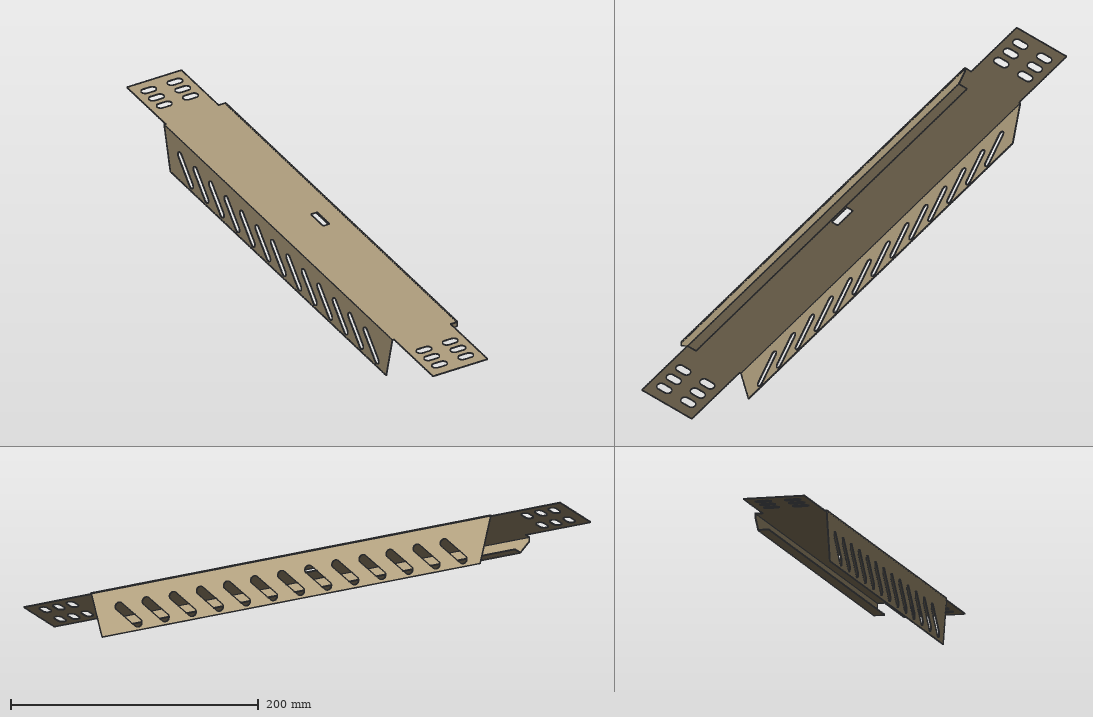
import cadquery as cq

sheet = 0.75
length = 495.0
depth = 59.4
height = 40.0

tab_width = 51.0
tab_front_setback = 1.8
body_length = 369.0
rear_length = 375.0
rear_strip_depth = depth - tab_front_setback - tab_width

front_bottom_length = 349.0

rear_height = 12.5
rear_straight = 4.0
rear_bottom_length = rear_length - 2 * (rear_height - rear_straight)
lip_depth = 9.0

tab_slot_width = 7.0
tab_slot_length = 13.5
tab_slot_end_distance = 12.5
tab_slot_pitch_x = 12.5
tab_slot_pitch_y = 24.5
tab_slot_columns = 3

diagonal_slot_count = 13
diagonal_slot_pitch = 25.0
diagonal_slot_width = 7.0
diagonal_slot_length = 32.0
diagonal_slot_angle = -45.0
diagonal_slot_drop = 25.0

window_length = 20.0
window_width = 6.0
window_rear_distance = 20.0

front_y = -depth / 2
rear_y = depth / 2
tab_front_y = front_y + tab_front_setback
tab_centre_y = tab_front_y + tab_width / 2


def plate_box(size_x, y_min, size_y, z_top):
    """One sheet thickness, centred on X, with its top face at z_top."""
    return cq.Workplane("XY").box(size_x, size_y, sheet, centered=(True, False, False)).translate(
        (0, y_min, z_top - sheet)
    )


def upright_sheet(y_front, outline):
    """One sheet thickness standing on edge, from y_front towards the rear, with an XZ outline."""
    return cq.Workplane("XZ", origin=(0, y_front + sheet, 0)).polyline(outline).close().extrude(sheet)


def front_flange():
    return upright_sheet(
        front_y,
        [
            (-body_length / 2, 0),
            (body_length / 2, 0),
            (front_bottom_length / 2, -height),
            (-front_bottom_length / 2, -height),
        ],
    )


def rear_flange():
    """Flange with short square ends that turn into bevels below."""
    return upright_sheet(
        rear_y - sheet,
        [
            (-rear_length / 2, 0),
            (rear_length / 2, 0),
            (rear_length / 2, -rear_straight),
            (rear_bottom_length / 2, -rear_height),
            (-rear_bottom_length / 2, -rear_height),
            (-rear_length / 2, -rear_straight),
        ],
    )


def top_plate():
    """Full-length strip, widened between the tabs to meet the front and rear flanges."""
    tabs = plate_box(length, tab_front_y, tab_width, 0)
    front_edge = plate_box(body_length, front_y, tab_centre_y - front_y, 0)
    rear_strip = plate_box(rear_length, rear_y - rear_strip_depth, rear_strip_depth, 0)
    return tabs.union(front_edge).union(rear_strip)


def rear_lip():
    return plate_box(rear_bottom_length, rear_y - lip_depth, lip_depth, sheet - rear_height)


def tab_slots():
    """Three columns and two rows of slots in each end tab."""
    centres = []
    for side in (-1, 1):
        for column in range(tab_slot_columns):
            x = side * (length / 2 - tab_slot_end_distance - column * tab_slot_pitch_x)
            for row in (-1, 1):
                centres.append((x, tab_centre_y + row * tab_slot_pitch_y / 2))
    return cq.Workplane("XY").pushPoints(centres).slot2D(tab_slot_length, tab_slot_width, 90).extrude(-sheet)


def diagonal_slots():
    return (
        cq.Workplane("XZ", origin=(0, front_y + sheet, -diagonal_slot_drop))
        .rarray(diagonal_slot_pitch, 1, diagonal_slot_count, 1)
        .slot2D(diagonal_slot_length, diagonal_slot_width, diagonal_slot_angle)
        .extrude(sheet)
    )


def plate_window():
    return (
        cq.Workplane("XY", origin=(0, rear_y - window_rear_distance, 0))
        .rect(window_length, window_width)
        .extrude(-sheet)
    )


bracket = top_plate().union(front_flange()).union(rear_flange()).union(rear_lip())
result = bracket.cut(tab_slots()).cut(diagonal_slots()).cut(plate_window())